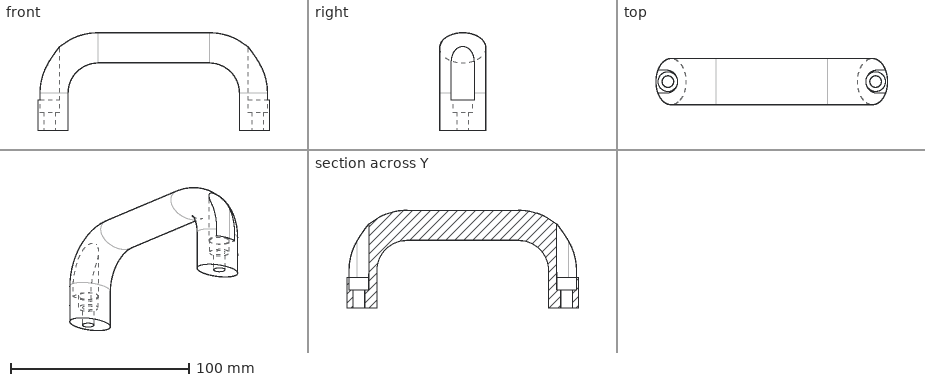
import cadquery as cq

length = 130.0
height = 55.0
grip_width = 26.0
grip_thickness = 17.0
bend_radius = 25.4

slot_width = 13.0
slot_floor = 17.3
slot_end_inset = 5.7
screw_inset = 6.8
screw_diameter = 6.4
counterbore_diameter = 11.0
counterbore_depth = 7.0

leg_x = (length - grip_thickness) / 2
bar_z = height - grip_thickness / 2
bend_start_z = bar_z - bend_radius
bend_start_x = leg_x - bend_radius


def handle_body():
    """Elliptical bar swept along two legs, two bends and a straight grip."""
    section = (
        cq.Workplane("XY")
        .center(-leg_x, 0)
        .ellipse(grip_thickness / 2, grip_width / 2)
    )
    path = (
        cq.Workplane("XZ")
        .moveTo(-leg_x, 0)
        .lineTo(-leg_x, bend_start_z)
        .tangentArcPoint((-bend_start_x, bar_z), relative=False)
        .lineTo(bend_start_x, bar_z)
        .tangentArcPoint((leg_x, bend_start_z), relative=False)
        .lineTo(leg_x, 0)
    )
    return section.sweep(path)


def screw_cutout(side):
    """Open slot, counterbore and through hole; side is -1 or +1 along X."""
    outer_x = side * length / 2
    slot_end_x = outer_x - side * slot_end_inset
    screw_x = outer_x - side * screw_inset

    seat = cq.Workplane("XY", origin=(0, 0, slot_floor))
    slot_end = seat.center(slot_end_x, 0).circle(slot_width / 2).extrude(height)
    slot_mouth = (
        seat.center((outer_x + slot_end_x) / 2, 0)
        .rect(slot_end_inset, slot_width)
        .extrude(height)
    )
    counterbore = (
        seat.center(screw_x, 0)
        .circle(counterbore_diameter / 2)
        .extrude(-counterbore_depth)
    )
    through_hole = (
        cq.Workplane("XY")
        .center(screw_x, 0)
        .circle(screw_diameter / 2)
        .extrude(slot_floor)
    )
    return slot_end.union(slot_mouth).union(counterbore).union(through_hole)


result = handle_body()
for side in (-1, 1):
    result = result.cut(screw_cutout(side))